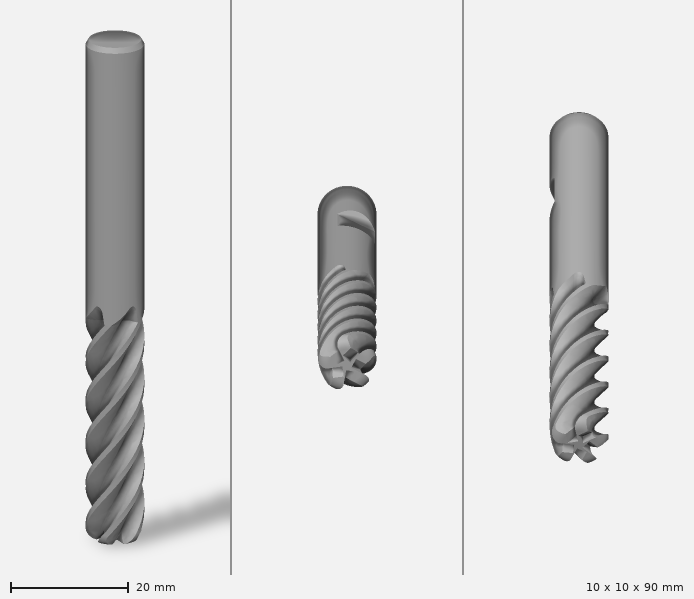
import cadquery as cq
import math

DIAMETER = 10.0
RADIUS = DIAMETER / 2
TOTAL_LENGTH = 90.0
CUTTING_LENGTH = 40.0

TOP_CHAMFER_HEIGHT = 0.9
TOP_CHAMFER_WIDTH = 0.5
FLAT_DEPTH = 1.5
FLAT_LENGTH = 7.0
FLAT_CENTER_Z = 70.0

FLUTE_COUNT = 5
FLUTE_PITCH_ANGLE = 360.0 / FLUTE_COUNT
HELIX_ANGLE = 40.0
HELIX_LEAD = math.pi * DIAMETER / math.tan(math.radians(HELIX_ANGLE))
RAKE_EDGE_ANGLE = -82.0
LAND_ANGLE = 13.0

RAKE_ROOT_RADIUS = 3.5
RAKE_ROOT_ANGLE = 1.0
CORE_RADIUS = 2.65
CORE_ANGLE = 11.0
HEEL_ROOT_RADIUS = 2.95
HEEL_ROOT_ANGLE = 31.0
HEEL_MID_RADIUS = 4.1
HEEL_MID_ANGLE = 45.0

RUNOUT_HEIGHT = 3.1
RUNOUT_OVERRUN = 2.0

CORNER_RADIUS = 2.0
GASH_HEIGHT = 2.0
GASH_WIDTH = 1.8
GASH_INNER_RADIUS = 0.8


def polar(radius, angle):
    """Point in the XY plane at a radius and an angle in degrees."""
    return radius * math.cos(math.radians(angle)), radius * math.sin(math.radians(angle))


def flute_curve(sketch, rake_angle):
    """Draws one flute: the convex heel, the round floor, then the flat rake face up to its edge."""
    sketch = sketch.threePointArc(
        polar(HEEL_MID_RADIUS, rake_angle - HEEL_MID_ANGLE),
        polar(HEEL_ROOT_RADIUS, rake_angle - HEEL_ROOT_ANGLE),
    )
    sketch = sketch.threePointArc(
        polar(CORE_RADIUS, rake_angle - CORE_ANGLE),
        polar(RAKE_ROOT_RADIUS, rake_angle - RAKE_ROOT_ANGLE),
    )
    return sketch.lineTo(*polar(RADIUS, rake_angle))


def flute_heel_angle(rake_angle):
    """Angle at which the flute in front of a rake edge starts."""
    return rake_angle - FLUTE_PITCH_ANGLE + LAND_ANGLE


def rake_angles(first_angle):
    return [first_angle + i * FLUTE_PITCH_ANGLE for i in range(FLUTE_COUNT)]


def make_shank():
    """Plain shank with a chamfered end, a Weldon flat on +Y and the flute run-outs."""
    shank = cq.Workplane("XY", origin=(0, 0, CUTTING_LENGTH)).circle(RADIUS)
    shank = shank.extrude(TOTAL_LENGTH - CUTTING_LENGTH)
    shank = shank.faces(">Z").chamfer(TOP_CHAMFER_HEIGHT, TOP_CHAMFER_WIDTH)
    shank = shank.cut(weldon_flat())
    for angle in rake_angles(RAKE_EDGE_ANGLE):
        shank = shank.cut(flute_runout(angle))
    return shank


def weldon_flat():
    """Flat-bottomed notch with 45 degree end walls, cut across the shank."""
    floor_y = RADIUS - FLAT_DEPTH
    half_length = FLAT_LENGTH / 2
    half_opening = half_length + FLAT_DEPTH
    return (
        cq.Workplane("YZ", origin=(0, 0, FLAT_CENTER_Z))
        .moveTo(floor_y, -half_length)
        .lineTo(RADIUS, -half_opening)
        .lineTo(RADIUS, half_opening)
        .lineTo(floor_y, half_length)
        .close()
        .extrude(RADIUS, both=True)
    )


def flute_runout(rake_angle):
    """Flute section swept upward and outward until it leaves the shank."""
    heel_angle = flute_heel_angle(rake_angle)
    core_angle = rake_angle - CORE_ANGLE
    outer_radius = 2 * RADIUS
    section = cq.Workplane("XY", origin=(0, 0, CUTTING_LENGTH)).moveTo(*polar(RADIUS, heel_angle))
    section = flute_curve(section, rake_angle)
    section = section.lineTo(*polar(outer_radius, rake_angle))
    section = section.lineTo(*polar(outer_radius, heel_angle)).close()
    outward = polar((RADIUS - CORE_RADIUS) * RUNOUT_OVERRUN, core_angle)
    rise = cq.Vector(*outward, RUNOUT_HEIGHT * RUNOUT_OVERRUN)
    return cq.Workplane(cq.Solid.extrudeLinear(section.val(), [], rise))


def make_cutter():
    """Helically fluted cutting part with rounded corners and an end gash ahead of each tooth."""
    twist = 360.0 * CUTTING_LENGTH / HELIX_LEAD
    tip_rake_angle = RAKE_EDGE_ANGLE - twist
    section = cq.Workplane("XY").moveTo(*polar(RADIUS, tip_rake_angle))
    for angle in rake_angles(tip_rake_angle):
        section = section.threePointArc(
            polar(RADIUS, angle + LAND_ANGLE / 2),
            polar(RADIUS, angle + LAND_ANGLE),
        )
        section = flute_curve(section, angle + FLUTE_PITCH_ANGLE)
    cutter = section.close().twistExtrude(CUTTING_LENGTH, twist)
    cutter = cutter.cut(corner_ring())
    for angle in rake_angles(tip_rake_angle):
        cutter = cutter.cut(end_gash(angle))
    return cutter


def corner_ring():
    """Material outside the rounded tip corner, as a ring that is removed from the cutter."""
    flat_radius = RADIUS - CORNER_RADIUS
    outer_radius = RADIUS + CORNER_RADIUS
    arc_middle = CORNER_RADIUS * math.sqrt(0.5)
    return (
        cq.Workplane("XZ")
        .moveTo(flat_radius, 0)
        .threePointArc(
            (flat_radius + arc_middle, CORNER_RADIUS - arc_middle),
            (RADIUS, CORNER_RADIUS),
        )
        .lineTo(outer_radius, CORNER_RADIUS)
        .lineTo(outer_radius, -CORNER_RADIUS)
        .lineTo(flat_radius, -CORNER_RADIUS)
        .close()
        .revolve(360, (0, 0, 0), (0, 1, 0))
    )


def end_gash(rake_angle):
    """Radial V-notch whose upright wall carries the end cutting edge."""
    gash = cq.Workplane("YZ", origin=(GASH_INNER_RADIUS, 0, 0)).lineTo(0, GASH_HEIGHT)
    gash = gash.lineTo(-GASH_WIDTH, 0).close().extrude(RADIUS)
    return gash.rotate((0, 0, 0), (0, 0, 1), rake_angle)


shank = make_shank()
cutter = make_cutter()
result = cq.Compound.makeCompound([*shank.solids().vals(), *cutter.solids().vals()])